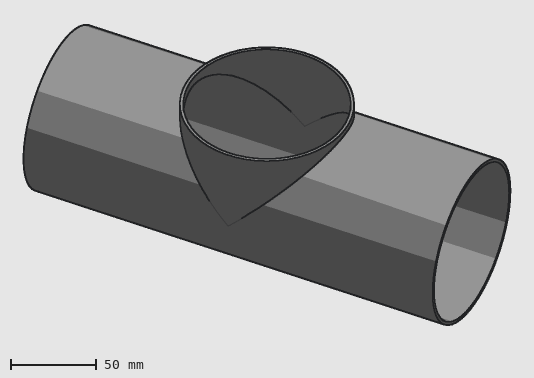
import cadquery as cq

run_length = 266.8
outer_diameter = 101.7
inner_diameter = 97.6
overall_height = 105.5

branch_height = overall_height - outer_diameter / 2


def run_cylinder(diameter):
    """Cylinder along X, centred on the origin."""
    return cq.Workplane("YZ").circle(diameter / 2).extrude(run_length / 2, both=True)


def branch_cylinder(diameter):
    """Cylinder along Z, from the run axis up to the branch rim."""
    return cq.Workplane("XY").circle(diameter / 2).extrude(branch_height)


def tee(diameter):
    """Solid tee shape with the run and the branch of the same diameter."""
    return run_cylinder(diameter).union(branch_cylinder(diameter))


result = tee(outer_diameter).cut(tee(inner_diameter))